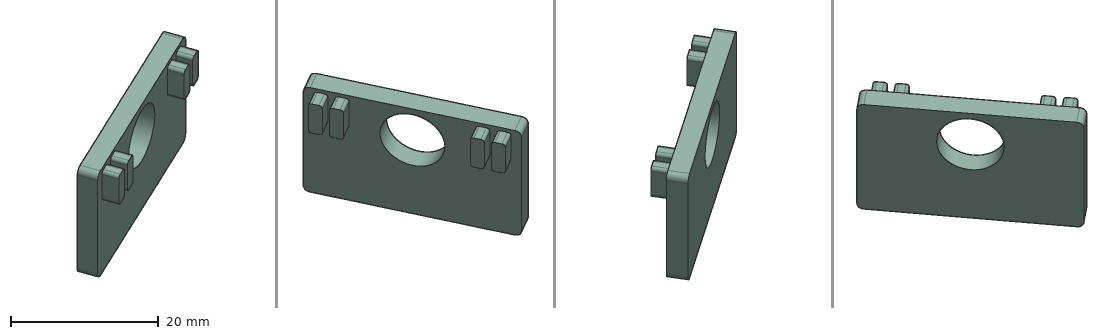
import cadquery as cq

plate_thickness = 3.0
plate_length = 31.0
plate_height = 19.0
corner_radius = 1.0

hole_diameter = 9.2
hole_center_below_top = 5.6

total_depth = 5.5
peg_length = total_depth - plate_thickness
peg_width = 1.98
peg_height = 5.3
peg_edge_radius = 0.5
peg_gap = 1.02
peg_end_margin = 1.52
peg_top_margin = 0.6

plate_top = plate_height / 2
outer_peg_y = plate_length / 2 - peg_end_margin - peg_width / 2
inner_peg_y = outer_peg_y - peg_width - peg_gap
peg_z = plate_top - peg_top_margin - peg_height / 2


def make_plate():
    """Rounded rectangular plate with its through hole."""
    plate = (
        cq.Workplane("YZ")
        .rect(plate_length, plate_height)
        .extrude(plate_thickness)
        .edges("|X")
        .fillet(corner_radius)
    )
    hole = (
        cq.Workplane("YZ")
        .center(0, plate_top - hole_center_below_top)
        .circle(hole_diameter / 2)
        .extrude(plate_thickness)
    )
    return plate.cut(hole)


def make_peg(y):
    """Peg with rounded lengthwise edges, standing on the +X face at height peg_z."""
    return (
        cq.Workplane("YZ", origin=(plate_thickness, 0, 0))
        .center(y, peg_z)
        .rect(peg_width, peg_height)
        .extrude(peg_length)
        .edges("|X")
        .fillet(peg_edge_radius)
    )


result = make_plate()
for side in (-1, 1):
    for distance in (inner_peg_y, outer_peg_y):
        result = result.union(make_peg(side * distance))